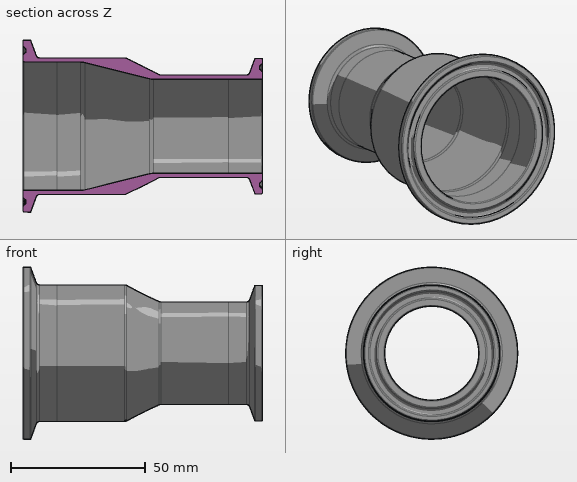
import cadquery as cq
import math


total_length = 88.9
wall = 1.65
large_tube_radius = 50.8 / 2
small_tube_radius = 38.1 / 2
large_flange_radius = 63.91 / 2
small_flange_radius = 50.39 / 2

cone_start_x = 38.1
cone_length = 12.7
cone_end_x = cone_start_x + cone_length
cone_blend_radius = 1.6

bore_cone_length = 25.4
bore_cone_start_x = 22.225
bore_cone_end_x = bore_cone_start_x + bore_cone_length
bore_blend_radius = 6.35

ferrule_length = 12.7
rim_width = 2.87
back_slope = math.radians(20)
rim_corner_radius = 0.4
mouth_radius = 0.4
back_root_radius = 1.27

groove_inset = 3.07
groove_half_width = 1.28
groove_depth = 1.1
groove_lip_radius = 0.65


def bore_radius(tube_radius):
    return tube_radius - wall


def revolve_about_x(profile):
    """Revolve an XY profile (X along the axis, Y radial) about the X axis."""
    return profile.close().revolve(360, (0, 0, 0), (1, 0, 0))


def circles_at(x, radius):
    """Selector for the circular edges of one radius in one plane across the axis."""
    tolerance = 0.01

    def box(half_size):
        low = (x - tolerance, -half_size, -half_size)
        high = (x + tolerance, half_size, half_size)
        return cq.selectors.BoxSelector(low, high, boundingbox=True)

    return box(radius + tolerance) - box(radius - tolerance)


def make_reducer_tube():
    """Hollow tube between the ferrules: large tube, cone, small tube, with rounded corners."""
    large_bore = bore_radius(large_tube_radius)
    tube_end_x = total_length - ferrule_length
    small_bore = bore_radius(small_tube_radius)
    profile = (
        cq.Workplane("XY")
        .moveTo(ferrule_length, large_bore)
        .lineTo(ferrule_length, large_tube_radius)
        .lineTo(cone_start_x, large_tube_radius)
        .lineTo(cone_end_x, small_tube_radius)
        .lineTo(tube_end_x, small_tube_radius)
        .lineTo(tube_end_x, small_bore)
        .lineTo(bore_cone_end_x, small_bore)
        .lineTo(bore_cone_start_x, large_bore)
    )
    tube = revolve_about_x(profile)
    tube = tube.edges(circles_at(cone_start_x, large_tube_radius)).fillet(cone_blend_radius)
    tube = tube.edges(circles_at(cone_end_x, small_tube_radius)).fillet(cone_blend_radius)
    tube = tube.edges(circles_at(bore_cone_start_x, large_bore)).fillet(bore_blend_radius)
    return tube.edges(circles_at(bore_cone_end_x, small_bore)).fillet(bore_blend_radius)


def make_ferrule(tube_radius, flange_radius):
    """Clamp ferrule with its sealing face at X = 0, reaching toward +X."""
    inner_radius = bore_radius(tube_radius)
    root_x = rim_width + (flange_radius - tube_radius) * math.tan(back_slope)
    profile = (
        cq.Workplane("XY")
        .moveTo(0, inner_radius)
        .lineTo(0, flange_radius)
        .lineTo(rim_width, flange_radius)
        .lineTo(root_x, tube_radius)
        .lineTo(ferrule_length, tube_radius)
        .lineTo(ferrule_length, inner_radius)
    )
    ferrule = revolve_about_x(profile)
    ferrule = ferrule.edges(circles_at(root_x, tube_radius)).fillet(back_root_radius)
    ferrule = ferrule.edges(circles_at(0, inner_radius)).fillet(mouth_radius)
    for x in (0, rim_width):
        ferrule = ferrule.edges(circles_at(x, flange_radius)).fillet(rim_corner_radius)
    return cut_gasket_groove(ferrule, inner_radius + groove_inset)


def cut_gasket_groove(ferrule, groove_inner_radius):
    """Cut an arc-section ring groove into the face at X = 0 and round its lips."""
    groove_outer_radius = groove_inner_radius + 2 * groove_half_width
    groove_bottom = (groove_depth, groove_inner_radius + groove_half_width)
    profile = (
        cq.Workplane("XY")
        .moveTo(0, groove_inner_radius)
        .threePointArc(groove_bottom, (0, groove_outer_radius))
    )
    ferrule = ferrule.cut(revolve_about_x(profile))
    for radius in (groove_inner_radius, groove_outer_radius):
        ferrule = ferrule.edges(circles_at(0, radius)).fillet(groove_lip_radius)
    return ferrule


large_ferrule = make_ferrule(large_tube_radius, large_flange_radius)
small_ferrule = (
    make_ferrule(small_tube_radius, small_flange_radius)
    .mirror("YZ")
    .translate((total_length, 0, 0))
)

reducer_tube = make_reducer_tube()
result = reducer_tube.union(large_ferrule, clean=False).union(small_ferrule, clean=False)